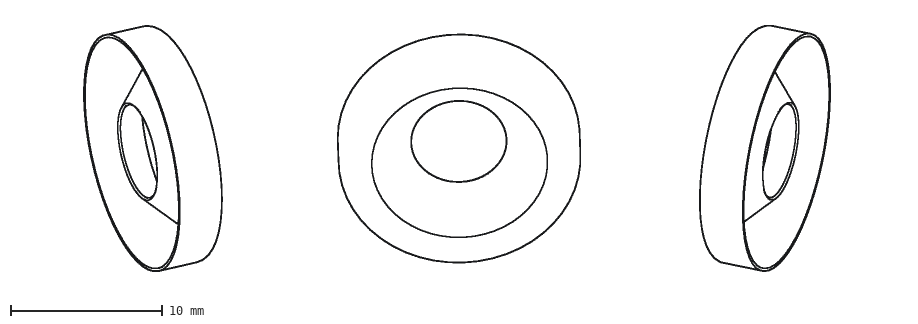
import cadquery as cq
import math

outer_radius = 8.0
depth = 3.2
sheet = 0.2
corner_radius = 0.5
cone_base_radius = 5.89
cone_tip_radius = 3.28
tip_recess = 0.4

floor_back = depth / 2
floor_inside = floor_back - sheet
rim = -depth / 2
tip = rim + tip_recess
inner_radius = outer_radius - sheet
bend_inner_radius = corner_radius - sheet
bend_center_radius = outer_radius - corner_radius
bend_center_y = floor_back - corner_radius
diagonal = math.sqrt(0.5)

cone_angle = math.atan2(floor_inside - tip, cone_base_radius - cone_tip_radius)
bore_radius = cone_tip_radius - sheet * math.sin(cone_angle)
bore_y = tip + sheet * math.cos(cone_angle)
cone_mouth_radius = bore_radius + (floor_back - bore_y) / math.tan(cone_angle)


def bend_middle(radius):
    """Middle point of a quarter-circle bend at the cup's corner."""
    return (bend_center_radius + radius * diagonal, bend_center_y + radius * diagonal)


result = (
    cq.Workplane("XY")
    .moveTo(cone_mouth_radius, floor_back)
    .lineTo(bend_center_radius, floor_back)
    .threePointArc(bend_middle(corner_radius), (outer_radius, bend_center_y))
    .lineTo(outer_radius, rim)
    .lineTo(inner_radius, rim)
    .lineTo(inner_radius, bend_center_y)
    .threePointArc(bend_middle(bend_inner_radius), (bend_center_radius, floor_inside))
    .lineTo(cone_base_radius, floor_inside)
    .lineTo(cone_tip_radius, tip)
    .lineTo(bore_radius, bore_y)
    .close()
    .revolve(360, (0, 0, 0), (0, 1, 0))
)